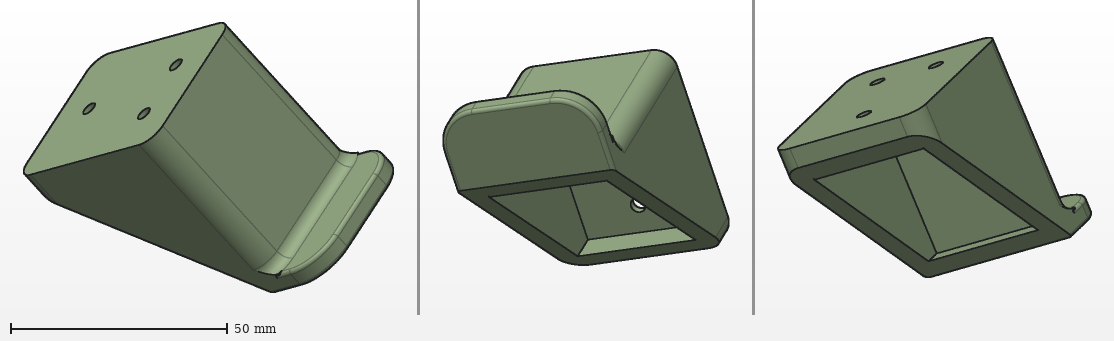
import cadquery as cq
import math

plate_size = 50.0
width = 40.0
slope = 45
plate_edge_height = 3.6
block_radius = 5.0
lip_thickness = 5.0
lip_reach = 15.0
lip_corner_radius = 10.0
lip_edge_radius = 1.0
root_radius = 3.0
root_overlap = 0.4
plate_wall = 2.0
cavity_wall = 5.0
hole_diameter = 3.6
hole_spacing = 16.0
lower_hole_place = 12.0
upper_hole_place = 38.0

lip_front = plate_size - lip_thickness
total_length = plate_size + lip_reach
block_middle = plate_size / 2


def make_block():
    """Block behind the plate, its four corners rounded, ending just inside the lip."""
    return (
        cq.Workplane("XY", origin=(block_middle, 0, 0))
        .rect(plate_size, width)
        .extrude(lip_front + lip_edge_radius)
        .edges("|Z")
        .fillet(block_radius)
    )


def make_lip():
    """Lip slab, square at its hidden foot, rounded at the free end and softened on its rim."""
    lip = (
        cq.Workplane("XY", origin=(total_length / 2, 0, lip_front))
        .rect(total_length, width)
        .extrude(lip_thickness)
        .edges("|Z and >X")
        .fillet(lip_corner_radius)
    )
    rim = lip.faces("<Z or >Z").edges("not <X")
    softened = rim.fillet(lip_edge_radius)
    foot = (
        cq.Workplane("XY", origin=(block_middle, 0, lip_front))
        .rect(plate_size, width)
        .extrude(lip_edge_radius)
    )
    return softened.union(foot)


def root_profile(y):
    """Section of the concave fillet, reaching a little into the block and the lip."""
    bulge = root_radius * (1 - math.sqrt(0.5))
    return (
        cq.Workplane("XZ", origin=(plate_size, y, lip_front))
        .moveTo(-root_overlap, root_overlap)
        .lineTo(-root_overlap, -root_radius)
        .lineTo(0, -root_radius)
        .threePointArc((bulge, -bulge), (root_radius, 0))
        .lineTo(root_radius, root_overlap)
        .close()
    )


def make_root_fillet():
    """Concave fillet along the block top that follows its rounded corners to the sides."""
    straight_width = width - 2 * block_radius
    fillet = root_profile(straight_width / 2).extrude(straight_width)
    for side in (-1, 1):
        corner_y = side * straight_width / 2
        axis_start = (-block_radius, 0, 0)
        axis_end = (-block_radius, 1, 0)
        corner = root_profile(corner_y).revolve(360, axis_start, axis_end)
        fillet = fillet.union(corner)
    bounds = cq.Workplane("XY").box(3 * plate_size, width, 3 * plate_size)
    return fillet.intersect(bounds)


def make_cavity():
    """Pocket behind the plate, open through the base."""
    size = plate_size - 2 * cavity_wall
    return (
        cq.Workplane("XY", origin=(block_middle, 0, plate_wall))
        .rect(size, width - 2 * cavity_wall)
        .extrude(lip_front - plate_wall)
    )


def make_holes():
    """Three screw holes through the plate into the cavity."""
    places = [
        (lower_hole_place, 0),
        (upper_hole_place, -hole_spacing / 2),
        (upper_hole_place, hole_spacing / 2),
    ]
    return cq.Workplane("XY").pushPoints(places).circle(hole_diameter / 2).extrude(2 * plate_wall)


body = make_block().union(make_lip()).union(make_root_fillet())
body = body.cut(make_cavity()).cut(make_holes())

tilted = body.mirror("XY").rotate((0, 0, 0), (0, 1, 0), -slope).translate((0, 0, plate_edge_height))
above_base = cq.Workplane("XY").box(4 * plate_size, 2 * width, 2 * plate_size, centered=(True, True, False))
result = tilted.intersect(above_base)